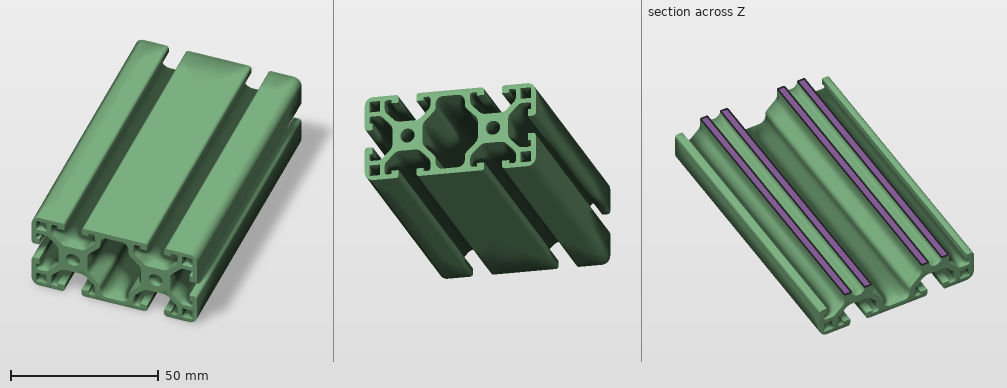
import cadquery as cq

length = 100.0
module = 30.0
half_module = module / 2
slot_centre = half_module

corner_radius = 3.0
skin = 1.6
lip_radius = 1.0

slot_half_opening = 3.1
lip_width = 2.5
lip_depth = 2.8
pocket_half_width = 8.0
pocket_radius = 0.8
core_half = 5.3
web_thickness = 2.0
web_offset = web_thickness / 2 * 2 ** 0.5
core_blend = 3.0
pocket_blend = 2.5
bore_diameter = 5.0

cavity_wall = 1.6
cavity_radius = 0.5

chamber_wall = 1.9
chamber_skin = 1.9
chamber_radius = 2.5

pocket_top = half_module - skin
lip_bottom = half_module - lip_depth
web_start = core_half - web_offset
pocket_web_end = pocket_half_width + web_offset
cavity_inner = pocket_half_width + cavity_wall
cavity_size = pocket_top - cavity_inner


def prism(outline):
    """Extrude an XZ outline along the whole length, centred on Y."""
    return outline.extrude(length / 2, both=True)


def edges_at(body, points, radius):
    """Round the lengthwise edges that pass through the given XZ points."""
    for x, z in points:
        near = 0.01
        box = cq.selectors.BoxSelector((x - near, -near, z - near), (x + near, near, z + near))
        body = body.edges("|Y").edges(box).fillet(radius)
    return body


def mirrored(points):
    """Points on both sides of X = 0."""
    return [(side * x, z) for x, z in points for side in (-1, 1)]


def make_slot():
    """T-slot opening upwards from a core centred on the origin."""
    neck = slot_half_opening + lip_width
    right = [
        (web_start, core_half),
        (pocket_half_width, pocket_web_end),
        (pocket_half_width, pocket_top),
        (neck, pocket_top),
        (neck, lip_bottom),
        (slot_half_opening, lip_bottom),
        (slot_half_opening, half_module),
    ]
    left = [(-x, z) for x, z in reversed(right)]
    slot = prism(cq.Workplane("XZ").polyline(right + left).close())
    slot = edges_at(slot, mirrored(right[:1]), core_blend)
    slot = edges_at(slot, mirrored(right[1:2]), pocket_blend)
    return edges_at(slot, mirrored(right[2:3]), pocket_radius)


def make_chamber():
    """Chamber in the middle of the profile, bounded by the webs of both cores."""
    core_face = slot_centre - core_half
    side = slot_centre - pocket_half_width - chamber_wall
    bend = pocket_half_width + chamber_wall - web_offset
    top = half_module - chamber_skin
    quarter = [(core_face, web_start), (side, bend), (side, top)]
    lower = [(x, -z) for x, z in reversed(quarter)]
    right = lower + quarter
    left = [(-x, -z) for x, z in right]
    chamber = prism(cq.Workplane("XZ").polyline(right + left).close())
    for point, radius in zip(quarter, (core_blend, pocket_blend, chamber_radius)):
        x, z = point
        chamber = edges_at(chamber, mirrored([(x, z), (x, -z)]), radius)
    return chamber


def make_corner_cavity(side_x, side_z):
    """Square cavity in one corner, rounded at its outermost edge."""
    middle = (pocket_top + cavity_inner) / 2
    x = side_x * (slot_centre + middle)
    z = side_z * middle
    cavity = prism(cq.Workplane("XZ").center(x, z).rect(cavity_size, cavity_size))
    outermost = [(side_x * (slot_centre + pocket_top), side_z * pocket_top)]
    return edges_at(cavity, outermost, cavity_radius)


profile = prism(cq.Workplane("XZ").rect(2 * module, module)).edges("|Y").fillet(corner_radius)
slot = make_slot()

for side in (-1, 1):
    for angle in (0, 180, side * 90):
        turned = slot.rotate((0, 0, 0), (0, 1, 0), angle)
        profile = profile.cut(turned.translate((side * slot_centre, 0, 0)))
    bore = prism(cq.Workplane("XZ").center(side * slot_centre, 0).circle(bore_diameter / 2))
    profile = profile.cut(bore)
    for side_z in (-1, 1):
        profile = profile.cut(make_corner_cavity(side, side_z))

profile = profile.cut(make_chamber())

lip_edges = [
    (slot_centre + edge, side * half_module)
    for edge in (-slot_half_opening, slot_half_opening)
    for side in (-1, 1)
]
end_lip_edges = [(module, side * slot_half_opening) for side in (-1, 1)]
profile = edges_at(profile, mirrored(lip_edges + end_lip_edges), lip_radius)

result = profile